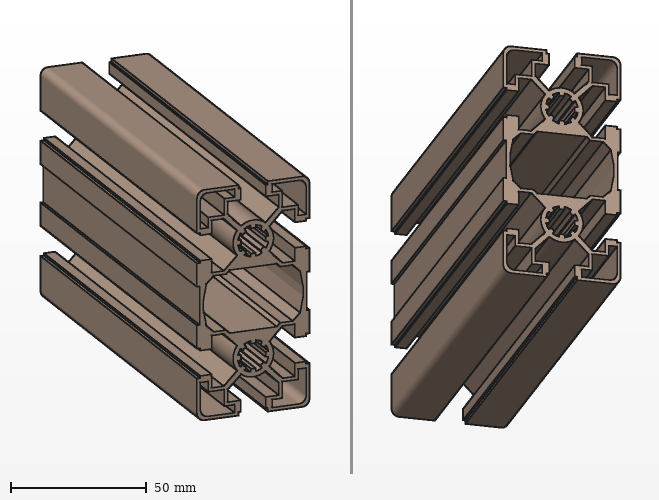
import cadquery as cq
import math

length = 150.0
width = 45.0
height = 90.0
corner_radius = 3.0
hollow_corner_radius = 3.0

half_module = width / 2
core_offset = (height - width) / 2

wall = 1.4
web_thickness = 2.2

mouth_half_width = 5.0
mouth_step_half_width = 5.8
mouth_step_depth = wall
lip_depth = 5.8
slot_half_width = 10.2
lip_end_wall = 2.5

core_radius = 8.1
bore_radius = 6.2
rib_tip_radius = 5.0
rib_angle = 21.0
rib_count = 8

cavity_half_width = 20.0
cavity_flat_half_height = 1.8
cavity_shoulder_half_width = 18.8
cavity_shoulder_half_height = 8.1
ledge_outer_half_width = 15.8
ledge_inner_half_width = 10.8

channel_half_height = 7.5
channel_depth = 1.0

lip_underside = half_module - lip_depth
web_offset = web_thickness / math.sqrt(2)
ledge_half_height = core_offset - slot_half_width - wall
cavity_half_height = core_offset - slot_half_width


def extrude_outline(points):
    """Full-length bar with a closed straight-sided (Y, Z) outline."""
    return cq.Workplane("YZ").polyline(points).close().extrude(length)


def bar(radius):
    """Full-length round bar on the X axis."""
    return cq.Workplane("YZ").circle(radius).extrude(length)


def turn(solid, angle):
    """Turn a solid about the X axis."""
    return solid.rotate((0, 0, 0), (1, 0, 0), angle)


def t_slot():
    """Void of an upward slot, narrowing between the diagonal webs to the core."""
    right_side = [
        (mouth_step_half_width, half_module),
        (mouth_step_half_width, half_module - mouth_step_depth),
        (mouth_half_width, half_module - mouth_step_depth),
        (mouth_half_width, lip_underside),
        (slot_half_width, lip_underside),
        (slot_half_width, slot_half_width + web_offset),
    ]
    left_side = [(-y, z) for y, z in reversed(right_side)]
    return extrude_outline(right_side + [(0, web_offset)] + left_side)


def corner_hollow():
    """Stepped void in the +Y +Z corner, one wall away from the slots and outer faces."""
    outer = half_module - wall
    lip_end = mouth_half_width + lip_end_wall
    lip_top = lip_underside + wall
    slot_side = slot_half_width + wall
    arc_start = outer - hollow_corner_radius
    return (
        cq.Workplane("YZ")
        .moveTo(lip_end, outer)
        .lineTo(arc_start, outer)
        .radiusArc((outer, arc_start), hollow_corner_radius)
        .lineTo(outer, lip_end)
        .lineTo(lip_top, lip_end)
        .lineTo(lip_top, slot_side)
        .lineTo(slot_side, slot_side)
        .lineTo(slot_side, lip_top)
        .lineTo(lip_end, lip_top)
        .close()
        .extrude(length)
    )


def screw_bore():
    """Round bore with wedge-shaped ribs reaching in towards its axis."""
    bore = bar(bore_radius)
    wedge_height = core_radius
    wedge_half_width = wedge_height * math.tan(math.radians(rib_angle / 2))
    rib = extrude_outline([(0, 0), (wedge_half_width, wedge_height), (-wedge_half_width, wedge_height)])
    for index in range(rib_count):
        bore = bore.cut(turn(rib, index * 360 / rib_count))
    return bore.union(bar(rib_tip_radius))


def central_cavity():
    """Void between the cores, with tapering sides and a raised roof between the slots."""
    roof_half_width = ledge_inner_half_width - wall
    upper_right = [
        (cavity_half_width, cavity_flat_half_height),
        (cavity_shoulder_half_width, cavity_shoulder_half_height),
        (ledge_outer_half_width, ledge_half_height),
        (ledge_inner_half_width, ledge_half_height),
        (roof_half_width, cavity_half_height),
    ]
    upper_left = [(-y, z) for y, z in reversed(upper_right)]
    upper = upper_right + upper_left
    lower = [(-y, -z) for y, z in upper]
    return extrude_outline(upper + lower)


profile = (
    cq.Workplane("YZ")
    .rect(width, height)
    .extrude(length)
    .edges("|X")
    .fillet(corner_radius)
)

upper_centre = (0, 0, core_offset)
for module_angle in (0, 180):
    for slot_angle in (-90, 0, 90):
        slot = turn(t_slot(), slot_angle).translate(upper_centre)
        profile = profile.cut(turn(slot, module_angle))
    for corner_angle in (0, 90):
        hollow = turn(corner_hollow(), corner_angle).translate(upper_centre)
        profile = profile.cut(turn(hollow, module_angle))
    profile = profile.union(turn(bar(core_radius).translate(upper_centre), module_angle))
    profile = profile.cut(turn(screw_bore().translate(upper_centre), module_angle))

profile = profile.cut(central_cavity())

for side in (-1, 1):
    channel = (
        cq.Workplane("YZ")
        .center(side * (half_module - channel_depth / 2), 0)
        .rect(channel_depth, 2 * channel_half_height)
        .extrude(length)
    )
    profile = profile.cut(channel)

result = profile.translate((-length / 2, 0, 0))